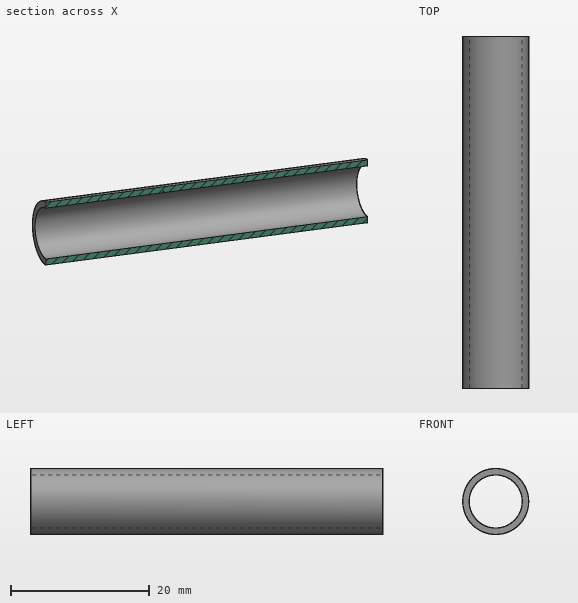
import cadquery as cq

length = 50.8
outer_diameter = 9.55
inner_diameter = 7.6

result = (
    cq.Workplane("XZ", origin=(0, length / 2, 0))
    .circle(outer_diameter / 2)
    .circle(inner_diameter / 2)
    .extrude(length)
)